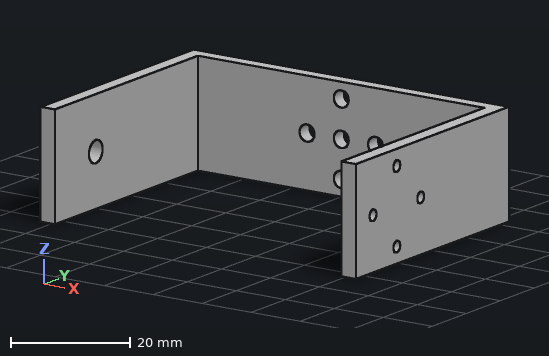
import cadquery as cq

width = 64.5
depth = 45.0
height = 20.0
thickness = 3.0

back_hole_diameter = 3.0
back_hole_radius = 7.0

axis_setback = 12.0
pivot_hole_diameter = 4.0
horn_hole_diameter = 2.0
horn_hole_radius = 7.0

axis_y = axis_setback - depth
right_arm_inner_x = width / 2 - thickness


def cross_points(radius):
    """Four points at the ends of an upright cross."""
    return [(radius, 0), (0, radius), (-radius, 0), (0, -radius)]


def make_bracket():
    """Back plate and both arms as a block with the space between the arms removed."""
    block = cq.Workplane("XY").box(width, depth, height).translate((0, -depth / 2, 0))
    gap = cq.Workplane("XY").box(width - 2 * thickness, depth, height)
    return block.cut(gap.translate((0, -depth / 2 - thickness, 0)))


def make_back_holes():
    """Through holes in the back plate, running along Y."""
    points = [(0, 0)] + cross_points(back_hole_radius)
    plane = cq.Workplane("XZ")
    return plane.pushPoints(points).circle(back_hole_diameter / 2).extrude(thickness)


def make_pivot_hole():
    """Through hole in the left arm, running along X."""
    plane = cq.Workplane("YZ", origin=(-width / 2, axis_y, 0))
    return plane.circle(pivot_hole_diameter / 2).extrude(thickness)


def make_horn_holes():
    """Four through holes in the right arm, around the pivot axis."""
    plane = cq.Workplane("YZ", origin=(right_arm_inner_x, axis_y, 0))
    points = cross_points(horn_hole_radius)
    return plane.pushPoints(points).circle(horn_hole_diameter / 2).extrude(thickness)


result = make_bracket().cut(make_back_holes()).cut(make_pivot_hole()).cut(make_horn_holes())